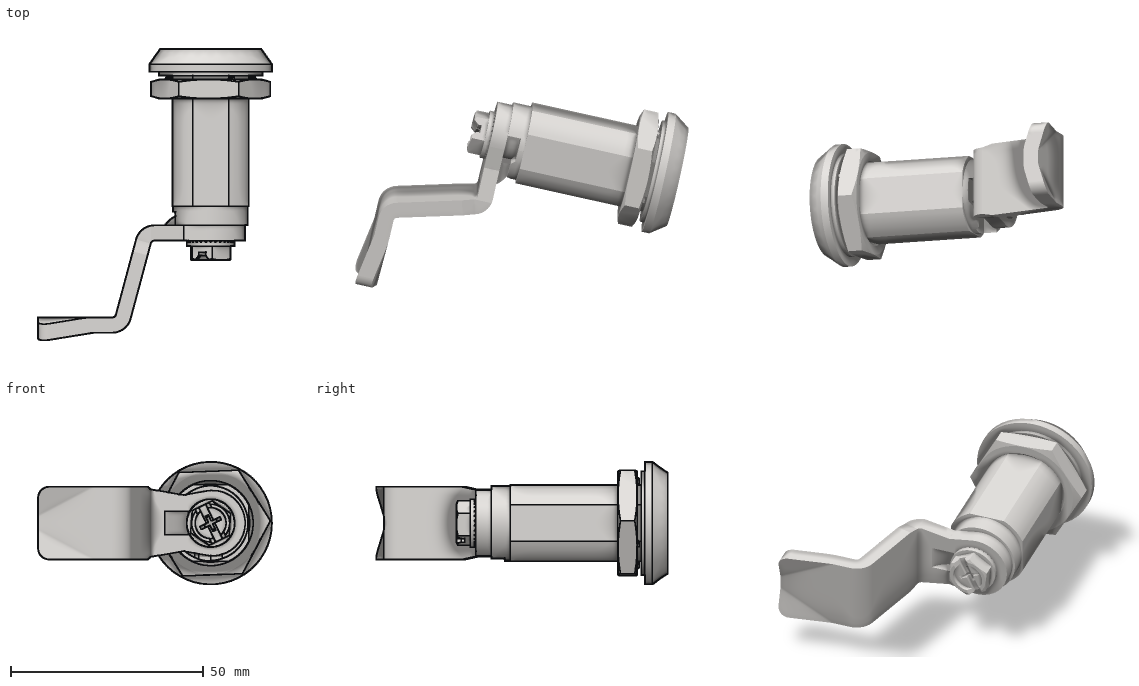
import cadquery as cq
import math


head_height = 6.0
head_rim_height = 2.0
gasket_thickness = 1.0
nut_seat_depth = 2.0
nut_height = 5.0
tooth_height = 0.5
barrel_length = 35.0
rotor_length = 4.95
sheet_thickness = 4.0
washer_thickness = 1.45
bolt_head_height = 3.65

rotor_y = -barrel_length
cam_y = rotor_y - rotor_length
washer_y = cam_y - sheet_thickness
bolt_head_y = washer_y - washer_thickness
bolt_end_y = bolt_head_y - bolt_head_height

head_radius = 32.0 / 2
head_top_radius = 13.15
barrel_radius = 11.0
barrel_across_flats = 19.9
stop_radius = 9.9
stop_base_height = 1.45
stop_lug_height = 2.5

gasket_radius = 13.5
nut_across_flats = 27.0
nut_bore_radius = 10.2
nut_bore_mouth_radius = 11.1
nut_face_radius = 13.4
nut_chamfer_height = 0.645
nut_turn = 2.2
tooth_count = 4
tooth_turn = 64.7
tooth_radius = 12.2
tooth_width = 1.4
tooth_top_width = 0.7
tooth_length = 1.2

rotor_radius = 9.7
rotor_core_radius = 4.95
stop_half_width = 6.15 / 2

tip_x = -45.0
cam_drop = 24.0
cam_half_width = 9.5
slant_angle = 15
slant_x = -18.5
bend_inner_radius = 1.0
bend_outer_radius = bend_inner_radius + sheet_thickness
eye_x = 0.495
eye_radius = 8.5
neck_x = -7.1
neck_angle = 10
web_taper_length = 3.2
tip_corner_radius = 3.0
flap_start = 1.6
flap_line_angle = 27.7
flap_bend = 19.2
flap_bend_radius = 1.5
tip_length = 15.7
tab_start_x = -11.9
tab_end_x = -5.8
tab_height = 3.2

washer_radius = 12.55 / 2
serration_count = 30
serration_depth = 0.4
bolt_across_flats = 10.0
bolt_face_radius = 4.95
bolt_chamfer_height = 0.4
bolt_turn = 26
shank_radius = 3.0
recess_radius = 4.0
recess_depth = 1.2
slot_width = 2.0
slot_mouth_width = 4.1
slot_depth = 2.1
cross_length = 5.8
cross_floor_length = 3.5
cross_width = 0.8
cross_depth = 2.7

AXIS_END = (0, -1, 0)


def sin(degrees):
    return math.sin(math.radians(degrees))


def cos(degrees):
    return math.cos(math.radians(degrees))


def tan(degrees):
    return math.tan(math.radians(degrees))


def face_plane(y):
    """Workplane across the lock axis; it extrudes toward -Y."""
    return cq.Workplane("XZ", origin=(0, y, 0))


def disc(radius, y, length):
    return face_plane(y).circle(radius).extrude(length)


def turn(shape, angle):
    return shape.rotate((0, 0, 0), AXIS_END, angle)


def revolve_profile(points):
    """Turn a closed outline of (radius, y) points about the lock axis."""
    return cq.Workplane("XY").polyline(points).close().revolve(360, (0, 0, 0), (0, 1, 0))


def hexagon(across_flats, y, length, angle):
    prism = face_plane(y).polygon(6, across_flats / cos(30)).extrude(length)
    return turn(prism, angle)


def stop_space(y, length, outer_radius, wall):
    """Part of a ring round the rotor core that lies on the -X and -Z side of two walls at X, Z = wall."""
    low = -outer_radius
    corner_points = [(low, low), (wall, low), (wall, wall), (low, wall)]
    corner = face_plane(y).polyline(corner_points).close().extrude(length)
    ring = face_plane(y).circle(outer_radius).circle(rotor_core_radius).extrude(length)
    return ring.intersect(corner)


def make_stop_lug():
    """Raised corner of the stop, with a 45 degree ramp down to the base on both sides."""
    ramp = stop_lug_height - stop_base_height
    base_y = rotor_y - stop_base_height
    lug_y = rotor_y - stop_lug_height
    profile = [
        (-stop_radius, base_y),
        (-stop_half_width, base_y),
        (-stop_half_width - ramp, lug_y),
        (-stop_radius, lug_y),
    ]
    bar = cq.Workplane("XY").polyline(profile).close().extrude(stop_radius, both=True)
    return bar.intersect(turn(bar, 90)).intersect(stop_space(rotor_y, stop_lug_height, stop_radius, 0))


def make_barrel():
    flats = face_plane(0).rect(barrel_across_flats, barrel_across_flats).extrude(barrel_length)
    return disc(barrel_radius, 0, barrel_length).intersect(flats)


def make_housing():
    head = revolve_profile([
        (0, 0),
        (head_radius, 0),
        (head_radius, head_rim_height),
        (head_top_radius, head_height),
        (0, head_height),
    ])
    stop = stop_space(rotor_y, stop_base_height, stop_radius, 0)
    return head.union(make_barrel()).union(stop).union(make_stop_lug())


def make_gasket():
    return face_plane(0).circle(gasket_radius).circle(barrel_radius).extrude(gasket_thickness)


def make_nut_tooth():
    half = tooth_width / 2
    profile = [
        (-half, -nut_seat_depth),
        (half, -nut_seat_depth),
        (half, -nut_seat_depth + tooth_height),
        (half - tooth_top_width, -nut_seat_depth + tooth_height),
    ]
    inner_edge = tooth_radius - tooth_length / 2
    return cq.Workplane("XY", origin=(0, 0, inner_edge)).polyline(profile).close().extrude(tooth_length)


def make_nut():
    top = -nut_seat_depth
    bottom = top - nut_height
    corner_radius = nut_across_flats / 2 / cos(30)
    bore_chamfer = nut_bore_mouth_radius - nut_bore_radius
    envelope = revolve_profile([
        (nut_bore_radius, top - bore_chamfer),
        (nut_bore_mouth_radius, top),
        (nut_face_radius, top),
        (corner_radius, top - nut_chamfer_height),
        (corner_radius, bottom + nut_chamfer_height),
        (nut_face_radius, bottom),
        (nut_bore_mouth_radius, bottom),
        (nut_bore_radius, bottom + bore_chamfer),
    ])
    nut = hexagon(nut_across_flats, top, nut_height, nut_turn).intersect(envelope)
    tooth = make_nut_tooth()
    for i in range(tooth_count):
        nut = nut.union(turn(tooth, tooth_turn - 90 + i * 360 / tooth_count))
    return nut.cut(make_barrel())


def make_rotor():
    rotor = disc(rotor_radius, rotor_y, rotor_length)
    stop_pocket = stop_space(rotor_y, stop_base_height, stop_radius, 0)
    slot_y = rotor_y - stop_base_height
    tab_slot = stop_space(slot_y, rotor_length - stop_base_height, stop_radius, stop_half_width)
    rotor = rotor.cut(stop_pocket).cut(tab_slot)
    return rotor.cut(disc(shank_radius, rotor_y, rotor_length))


def make_bent_strip():
    """Side profile of the cam at full width: eye plate, slanted web and flat tip plate."""
    low_y = cam_y - cam_drop
    web_run = cam_drop * tan(slant_angle)
    web_width = sheet_thickness / cos(slant_angle)
    shift = sheet_thickness * tan(slant_angle)
    end_x = eye_x + eye_radius
    upper_outer = (slant_x, cam_y)
    lower_inner = (slant_x - web_run, low_y)
    lower_outer = (slant_x - web_run - shift + web_width, low_y - sheet_thickness)
    upper_inner = (slant_x - shift + web_width, cam_y - sheet_thickness)
    outline = [
        (end_x, cam_y),
        upper_outer,
        lower_inner,
        (tip_x + tip_length, low_y),
        (tip_x + tip_length, low_y - sheet_thickness),
        lower_outer,
        upper_inner,
        (end_x, cam_y - sheet_thickness),
    ]
    strip = cq.Workplane("XY").polyline(outline).close().extrude(cam_half_width, both=True)
    bends = [
        (upper_outer, bend_outer_radius),
        (lower_inner, bend_inner_radius),
        (lower_outer, bend_outer_radius),
        (upper_inner, bend_inner_radius),
    ]
    for (x, y), radius in bends:
        strip = strip.edges(cq.selectors.NearestToPointSelector((x, y, 0))).fillet(radius)
    return strip


neck_end_x = (
    slant_x
    + sheet_thickness / cos(slant_angle)
    - sheet_thickness * tan(slant_angle)
    - bend_inner_radius * tan((90 - slant_angle) / 2) * sin(slant_angle)
)
eye_tangent_x = eye_x - eye_radius * sin(neck_angle)
eye_tangent_z = eye_radius * cos(neck_angle)
neck_half_width = eye_tangent_z - (eye_tangent_x - neck_x) * tan(neck_angle)
bend_half_width = neck_half_width + (neck_x - neck_end_x) * tan(neck_angle)


def make_eye_outline():
    upper = [
        (tip_x, cam_half_width),
        (neck_end_x, cam_half_width),
        (neck_end_x, bend_half_width),
        (neck_x, neck_half_width),
        (eye_tangent_x, eye_tangent_z),
    ]
    lower = [(x, -z) for x, z in reversed(upper)]
    return (
        face_plane(cam_y)
        .polyline(upper)
        .threePointArc((eye_x + eye_radius, 0), lower[0])
        .polyline(lower, includeCurrent=False)
        .close()
        .extrude(2 * cam_drop)
    )


def make_web_taper():
    """Cutter for the +Z edge of the web, square to the web and running on over the bend."""
    bend_tangent = bend_outer_radius * tan((90 - slant_angle) / 2)
    down_web = cq.Vector(-sin(slant_angle), -cos(slant_angle), 0)
    origin = cq.Vector(slant_x, cam_y, 0) + down_web * bend_tangent
    outward = cq.Vector(-cos(slant_angle), sin(slant_angle), 0)
    plane = cq.Plane(origin=origin.toTuple(), xDir=down_web.toTuple(), normal=outward.toTuple())
    outside = 2 * cam_half_width
    profile = [
        (-bend_outer_radius, bend_half_width),
        (0, bend_half_width),
        (web_taper_length, cam_half_width),
        (web_taper_length, outside),
        (-bend_outer_radius, outside),
    ]
    return cq.Workplane(plane).polyline(profile).close().extrude(2 * sheet_thickness, both=True)


def make_folded_sheet():
    """Wide sheet, flat over the tip plate and folded toward -Y beyond the +Z fold line."""
    plane = cq.Plane(
        origin=(tip_x, cam_y - cam_drop, flap_start),
        xDir=(-sin(flap_line_angle), 0, cos(flap_line_angle)),
        normal=(cos(flap_line_angle), 0, sin(flap_line_angle)),
    )
    reach = 2 * tip_length
    bend_centre = sheet_thickness + flap_bend_radius

    def on_bend(radius, angle):
        return (radius * sin(angle), bend_centre - radius * cos(angle))

    def along_flap(point):
        return (point[0] + reach * cos(flap_bend), point[1] + reach * sin(flap_bend))

    outer_end = on_bend(bend_centre, flap_bend)
    inner_end = on_bend(flap_bend_radius, flap_bend)
    return (
        cq.Workplane(plane)
        .moveTo(-reach, 0)
        .lineTo(0, 0)
        .threePointArc(on_bend(bend_centre, flap_bend / 2), outer_end)
        .lineTo(*along_flap(outer_end))
        .lineTo(*along_flap(inner_end))
        .lineTo(*inner_end)
        .threePointArc(on_bend(flap_bend_radius, flap_bend / 2), (0, sheet_thickness))
        .lineTo(-reach, sheet_thickness)
        .close()
        .extrude(reach, both=True)
    )


def make_tip():
    """Tip plate with both corners folded, built as one half and its mirror image."""
    half_block = (
        face_plane(cam_y - cam_drop)
        .center(tip_x + tip_length / 2, cam_half_width / 2)
        .rect(tip_length, cam_half_width)
        .extrude(3 * sheet_thickness)
        .edges("|Y and <X and >Z")
        .fillet(tip_corner_radius)
    )
    half_tip = half_block.intersect(make_folded_sheet())
    return half_tip.union(half_tip.mirror("XY"))


def make_tab(y):
    """Stop tab: rises in an arc toward the lock axis and ends in a square face."""
    run = tab_end_x - tab_start_x
    radius = (run ** 2 + tab_height ** 2) / (2 * tab_height)
    half_angle = math.degrees(math.asin(run / radius)) / 2
    top = y + tab_height
    middle = (tab_end_x - radius * sin(half_angle), top - radius * (1 - cos(half_angle)))
    return (
        cq.Workplane("XY")
        .moveTo(tab_start_x, y)
        .threePointArc(middle, (tab_end_x, top))
        .lineTo(tab_end_x, y)
        .close()
        .extrude(stop_half_width, both=True)
    )


def make_cam():
    taper = make_web_taper()
    cam = make_bent_strip().intersect(make_eye_outline())
    cam = cam.cut(taper).cut(taper.mirror("XY"))
    cam = cam.union(make_tip())
    cam = cam.union(make_tab(cam_y)).cut(make_tab(washer_y))
    return cam.cut(disc(shank_radius, cam_y, sheet_thickness))


def make_washer():
    washer = face_plane(washer_y).circle(washer_radius).circle(shank_radius).extrude(washer_thickness)
    half_pitch = math.pi * washer_radius / serration_count / 2
    groove = (
        cq.Workplane("XY")
        .polyline([(-half_pitch, washer_y), (half_pitch, washer_y), (0, washer_y - serration_depth)])
        .close()
        .extrude(2 * washer_radius)
        .translate((0, 0, (washer_radius + shank_radius) / 2))
    )
    for i in range(serration_count):
        washer = washer.cut(turn(groove, i * 360 / serration_count))
    return washer


def make_bolt_drive():
    """Dished recess, slot flared through the rim, and tapered cross recess, all cut from the end face."""
    recess = disc(recess_radius, bolt_end_y + recess_depth, recess_depth)
    slot_floor = bolt_end_y + slot_depth
    recess_floor = bolt_end_y + recess_depth
    narrow = slot_width / 2
    wide = slot_mouth_width / 2
    slot = (
        cq.Workplane("XY")
        .polyline([
            (-narrow, slot_floor),
            (narrow, slot_floor),
            (narrow, recess_floor),
            (wide, bolt_end_y),
            (-wide, bolt_end_y),
            (-narrow, recess_floor),
        ])
        .close()
        .extrude(bolt_across_flats, both=True)
    )
    cross_floor = bolt_end_y + cross_depth
    arm = (
        cq.Workplane("XY")
        .polyline([
            (-cross_length / 2, recess_floor),
            (-cross_floor_length / 2, cross_floor),
            (cross_floor_length / 2, cross_floor),
            (cross_length / 2, recess_floor),
        ])
        .close()
        .extrude(cross_width / 2, both=True)
    )
    return turn(recess.union(slot).union(arm).union(turn(arm, 90)), bolt_turn)


def make_bolt():
    corner_radius = bolt_across_flats / 2 / cos(30)
    envelope = revolve_profile([
        (0, bolt_head_y),
        (corner_radius, bolt_head_y),
        (corner_radius, bolt_end_y + bolt_chamfer_height),
        (bolt_face_radius, bolt_end_y),
        (0, bolt_end_y),
    ])
    head = hexagon(bolt_across_flats, bolt_head_y, bolt_head_height, bolt_turn).intersect(envelope)
    shank = disc(shank_radius, rotor_y, rotor_y - bolt_head_y)
    return head.union(shank).cut(make_bolt_drive())


housing = make_housing()
gasket = make_gasket()
nut = make_nut()
rotor = make_rotor()
cam = make_cam()
washer = make_washer()
bolt = make_bolt()

result = cq.Compound.makeCompound([
    housing.val(),
    gasket.val(),
    nut.val(),
    rotor.val(),
    cam.val(),
    washer.val(),
    bolt.val(),
])